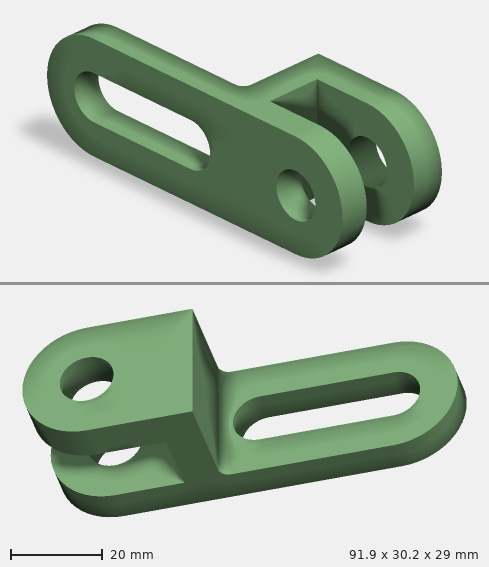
import cadquery as cq

length = 91.9
depth = 30.2
height = 29.0
end_radius = height / 2

plate_thickness = 7.35
rear_lug_thickness = 8.5
web_start = 53.5
web_thickness = 8.3
web_fillet = 2.4

bore_diameter = 12.1
slot_length = 42.3

bore_x = length - end_radius
slot_center_x = end_radius - bore_diameter / 2 + slot_length / 2
web_end = web_start + web_thickness
rear_lug_front = depth - rear_lug_thickness


def make_section():
    """Plate, web and rear lug, extruded along Z and centred on Z = 0."""
    outline = [
        (0, 0),
        (length, 0),
        (length, plate_thickness),
        (web_end, plate_thickness),
        (web_end, rear_lug_front),
        (length, rear_lug_front),
        (length, depth),
        (web_start, depth),
        (web_start, plate_thickness),
        (0, plate_thickness),
    ]
    body = cq.Workplane("XY").polyline(outline).close().extrude(end_radius, both=True)
    inner_corner = cq.selectors.NearestToPointSelector((web_start, plate_thickness, 0))
    return body.edges("|Z").edges(inner_corner).fillet(web_fillet)


def through_y(sketch):
    """Extrude an XZ sketch through the full depth, from Y = 0 toward +Y."""
    return sketch.extrude(-depth)


envelope = through_y(cq.Workplane("XZ").center(length / 2, 0).slot2D(length, height))
bore = through_y(cq.Workplane("XZ").center(bore_x, 0).circle(bore_diameter / 2))
slot = through_y(cq.Workplane("XZ").center(slot_center_x, 0).slot2D(slot_length, bore_diameter))

result = make_section().intersect(envelope).cut(bore).cut(slot)